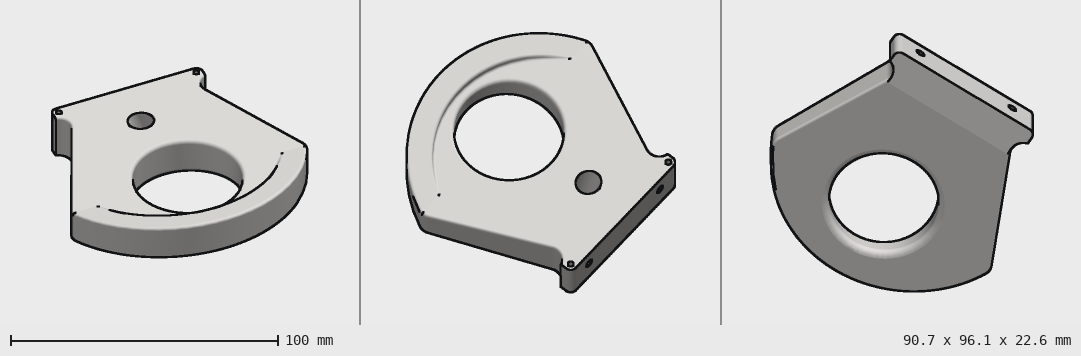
import cadquery as cq
import math

LENGTH = 90.69
FLAT_HEIGHT = 18.0
EDGE_FILLET = 1.0
REACH = 120.0

EAR_HALF_WIDTH = 30.75
EAR_CORNER_RADIUS = 2.5
EAR_CORNER_Y = EAR_HALF_WIDTH - EAR_CORNER_RADIUS
NOTCH_RADIUS = 5.0
NOTCH_X = 10.15
NOTCH_Y = 32.0
HALF_WIDTH = 48.07
SHOULDER_RADIUS = 5.0
SHOULDER_X = 58.08
SHOULDER_Y = HALF_WIDTH - SHOULDER_RADIUS
NOSE_RADIUS = 52.4
NOSE_X = LENGTH - NOSE_RADIUS

UNDERSIDE_START_X = 13.0
UNDERSIDE_ANGLE = 6.1

RIM_START_X = 58.7
RIM_ANGLE = 8.46
RIM_WIDTH = 9.95
RIM_FILLET = 1.0
RIM_INNER_RADIUS = NOSE_RADIUS - RIM_WIDTH
FOOT_SETBACK = 0.3

OPENING_X = 56.7
OPENING_RADIUS = 20.5
OPENING_TOP_FILLET = 1.5
OPENING_BOTTOM_FILLET = 2.5

TILTED_HOLE_X = 19.75
TILTED_HOLE_Y = -2.4
TILTED_HOLE_DIAMETER = 9.4
TILTED_HOLE_ANGLE = 20.0
TILTED_HOLE_DEPTH = 15.0

DRILL_POINT_ANGLE = 118.0
EAR_HOLE_DIAMETER = 2.2
EAR_HOLE_DEPTH = 8.0
FACE_HOLE_DIAMETER = 3.4
FACE_HOLE_DEPTH = 10.0
FACE_HOLE_Y = 20.5
FACE_HOLE_Z = 10.5

TOLERANCE = 0.01


def height_on_slope(x, start_x, start_z, angle):
    """Height at x of a plane that rises toward +X from a starting line."""
    return start_z + (x - start_x) * math.tan(math.radians(angle))


def level_plane(z):
    return cq.Plane(origin=(0, 0, z))


def cross_plane(x):
    """Plane square to the X axis, facing +X."""
    return cq.Plane(origin=(x, 0, 0), xDir=(0, 1, 0), normal=(1, 0, 0))


def tilted_plane(start_x, start_z, angle):
    """Plane through a line along Y, rising toward +X at an angle in degrees."""
    slope = math.radians(angle)
    return cq.Plane(
        origin=(start_x, 0, start_z),
        xDir=(math.cos(slope), 0, math.sin(slope)),
        normal=(-math.sin(slope), 0, math.cos(slope)),
    )


UNDERSIDE_PLANE = tilted_plane(UNDERSIDE_START_X, 0, UNDERSIDE_ANGLE)
RIM_PLANE = tilted_plane(RIM_START_X, FLAT_HEIGHT, RIM_ANGLE)


def above(plane):
    """Large block on the side of a plane that its normal points to."""
    return cq.Workplane(plane).rect(2 * REACH, 2 * REACH).extrude(REACH)


def below(plane):
    """Large block on the side of a plane away from its normal."""
    return cq.Workplane(plane).rect(2 * REACH, 2 * REACH).extrude(-REACH)


def curved_edges_at(body, point):
    """Curved edges that pass through a point."""
    vertex = cq.Vertex.makeVertex(*point)
    return [
        edge
        for edge in body.edges().vals()
        if edge.geomType() != "LINE" and edge.distance(vertex) < TOLERANCE
    ]


def fillet_at(body, point, radius):
    """Fillet the curved edge that passes through a point."""
    return body.newObject(curved_edges_at(body, point)).fillet(radius)


def polar(center_x, center_y, radius, angle):
    """Point on a circle at an angle in radians."""
    return (center_x + radius * math.cos(angle), center_y + radius * math.sin(angle))


def mirrored(point):
    return (point[0], -point[1])


def outline():
    """Closed plan outline, symmetric about the X axis."""
    ear_middle = polar(EAR_CORNER_RADIUS, EAR_CORNER_Y, EAR_CORNER_RADIUS, math.radians(135))
    ear_drop = NOTCH_Y - EAR_HALF_WIDTH
    ear_tip = (NOTCH_X - math.sqrt(NOTCH_RADIUS**2 - ear_drop**2), EAR_HALF_WIDTH)
    notch_bottom = (NOTCH_X, NOTCH_Y - NOTCH_RADIUS)

    run = SHOULDER_X - NOTCH_X
    rise = SHOULDER_Y - NOTCH_Y
    crossing = math.asin((NOTCH_RADIUS + SHOULDER_RADIUS) / math.hypot(run, rise))
    flank_angle = math.atan2(rise, run) + crossing
    flank_start = polar(NOTCH_X, NOTCH_Y, NOTCH_RADIUS, flank_angle - math.pi / 2)
    flank_end = polar(SHOULDER_X, SHOULDER_Y, SHOULDER_RADIUS, flank_angle + math.pi / 2)

    shoulder_top = (SHOULDER_X, HALF_WIDTH)
    nose_angle = math.atan2(SHOULDER_Y, SHOULDER_X - NOSE_X)
    nose_start = polar(NOSE_X, 0, NOSE_RADIUS, nose_angle)
    return (
        cq.Workplane("XY")
        .moveTo(0, EAR_CORNER_Y)
        .threePointArc(ear_middle, (EAR_CORNER_RADIUS, EAR_HALF_WIDTH))
        .lineTo(*ear_tip)
        .threePointArc(notch_bottom, flank_start)
        .lineTo(*flank_end)
        .threePointArc(shoulder_top, nose_start)
        .threePointArc((LENGTH, 0), mirrored(nose_start))
        .threePointArc(mirrored(shoulder_top), mirrored(flank_end))
        .lineTo(*mirrored(flank_start))
        .threePointArc(mirrored(notch_bottom), mirrored(ear_tip))
        .lineTo(EAR_CORNER_RADIUS, -EAR_HALF_WIDTH)
        .threePointArc(mirrored(ear_middle), (0, -EAR_CORNER_Y))
        .close()
    )


def is_upright(edge):
    start = edge.startPoint()
    end = edge.endPoint()
    return math.hypot(end.x - start.x, end.y - start.y) < TOLERANCE


def plate(top):
    """Outline between the sloped underside and a top plane, rounded from the notches forward."""
    body = outline().extrude(REACH / 2, both=True).cut(below(UNDERSIDE_PLANE)).cut(above(top))
    ear_end = NOTCH_X - NOTCH_RADIUS
    rounded = [
        edge for edge in body.edges().vals() if edge.Center().x > ear_end and not is_upright(edge)
    ]
    return body.newObject(rounded).fillet(EDGE_FILLET)


def make_rear():
    """Flat-topped part behind the rim; its underside stays level under the ears."""
    flat = plate(level_plane(FLAT_HEIGHT))
    return flat.cut(above(cross_plane(RIM_START_X))).cut(below(level_plane(0)))


def make_rim_recess():
    """Space inside the rim, above the flat top, with the rim's inner edge rounded."""
    inner_x = NOSE_X + RIM_INNER_RADIUS
    inner_top = (inner_x, 0, height_on_slope(inner_x, RIM_START_X, FLAT_HEIGHT, RIM_ANGLE))
    axis = cq.Workplane("XY").center(NOSE_X, 0)
    ring = axis.circle(NOSE_RADIUS).circle(RIM_INNER_RADIUS).extrude(REACH).cut(above(RIM_PLANE))
    ring = fillet_at(ring, inner_top, RIM_FILLET)
    cover = axis.circle(RIM_INNER_RADIUS + 2 * RIM_FILLET).extrude(REACH)
    return cover.cut(ring).cut(below(level_plane(FLAT_HEIGHT)))


def make_front():
    """Nose with the raised rim, blended into the flat top at its foot."""
    nose = plate(RIM_PLANE).intersect(above(cross_plane(RIM_START_X))).cut(make_rim_recess())
    foot_point = (NOSE_X + RIM_INNER_RADIUS, 0, FLAT_HEIGHT)
    blended = nose.intersect(above(cross_plane(RIM_START_X + FOOT_SETBACK)))
    blended = fillet_at(blended, foot_point, RIM_FILLET)
    return nose.union(cq.Workplane(blended.val().fix()))


def cut_opening(body):
    """Round through opening with rounded edges."""
    bore = cq.Workplane("XY").center(OPENING_X, 0).circle(OPENING_RADIUS).extrude(REACH, both=True)
    underside_z = height_on_slope(OPENING_X, UNDERSIDE_START_X, 0, UNDERSIDE_ANGLE)
    body = body.cut(bore)
    body = fillet_at(body, (OPENING_X, OPENING_RADIUS, FLAT_HEIGHT), OPENING_TOP_FILLET)
    return fillet_at(body, (OPENING_X, OPENING_RADIUS, underside_z), OPENING_BOTTOM_FILLET)


def tilted_hole():
    """Flat-bottomed hole leaning toward +Y as it goes down."""
    lean = math.radians(TILTED_HOLE_ANGLE)
    mouth = cq.Plane(
        origin=(TILTED_HOLE_X, TILTED_HOLE_Y, FLAT_HEIGHT),
        xDir=(1, 0, 0),
        normal=(0, -math.sin(lean), math.cos(lean)),
    )
    return (
        cq.Workplane(mouth)
        .workplane(offset=TILTED_HOLE_DIAMETER)
        .circle(TILTED_HOLE_DIAMETER / 2)
        .extrude(-TILTED_HOLE_DIAMETER - TILTED_HOLE_DEPTH)
    )


def drilled_hole(mouth, diameter, depth):
    """Blind hole with a conical point, entering against the normal of its mouth plane."""
    radius = diameter / 2
    tip = depth + radius / math.tan(math.radians(DRILL_POINT_ANGLE / 2))
    profile = cq.Workplane("XZ").polyline([(0, 0), (radius, 0), (radius, -depth), (0, -tip)]).close()
    hole = profile.revolve(360, (0, 0, 0), (0, 1, 0))
    return cq.Workplane(hole.val().moved(cq.Location(mouth)))


def cut_screw_holes(body):
    """One vertical hole in each ear and two holes in the back face."""
    for side in (-1, 1):
        ear_mouth = cq.Plane(origin=(EAR_CORNER_RADIUS, side * EAR_CORNER_Y, FLAT_HEIGHT))
        face_mouth = cq.Plane(
            origin=(0, side * FACE_HOLE_Y, FACE_HOLE_Z), xDir=(0, 1, 0), normal=(-1, 0, 0)
        )
        body = body.cut(drilled_hole(ear_mouth, EAR_HOLE_DIAMETER, EAR_HOLE_DEPTH))
        body = body.cut(drilled_hole(face_mouth, FACE_HOLE_DIAMETER, FACE_HOLE_DEPTH))
    return body


body = cut_opening(make_rear().union(make_front()))
body = cut_screw_holes(body.cut(tilted_hole()))
result = cq.Workplane(body.val().Solids()[0])